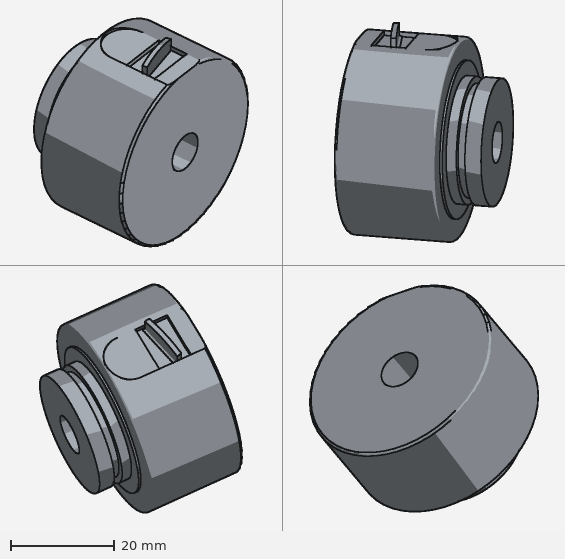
import cadquery as cq
import math

body_radius = 20.0
body_length = 20.0
edge_break = 0.5
collar_radius = 15.5
collar_length = 0.5
neck_radius = 12.5
neck_end = -7.5
groove_radius = 11.17
groove_start = -4.25
groove_end = -2.55
bore_radius = 4.0

flat_width = 10.0
flat_start = 0.55
flat_height = math.sqrt(body_radius**2 - (flat_width / 2) ** 2)
cut_clearance = 0.4
cut_top = body_radius + cut_clearance

pocket_start = 9.5
pocket_end = 16.45
pocket_floor = flat_height - 1.0

key_thickness = 1.1
key_length = flat_width
key_angle = 11.0
key_center_x = 12.97
key_top = 21.85
key_crown_radius = 17.58
key_root_fillet = 0.25
key_root_ledge = 0.3
key_root_ledge_height = 0.13


def cylinder(radius, start, end):
    return cq.Workplane("YZ", origin=(start, 0, 0)).circle(radius).extrude(end - start)


def box_between(start, end, width, bottom, top):
    center = ((start + end) / 2, 0, bottom)
    return cq.Workplane("XY", origin=center).rect(end - start, width).extrude(top - bottom)


def turned_body():
    body = cylinder(body_radius, 0, body_length)
    body = body.faces("<X or >X").edges().fillet(edge_break)
    collar = cylinder(collar_radius, -collar_length, 0)
    neck = cylinder(neck_radius, neck_end, 0)
    ring = cylinder(neck_radius, groove_start, groove_end)
    groove = ring.cut(cylinder(groove_radius, groove_start, groove_end))
    return body.union(collar).union(neck).cut(groove)


def flat_cutter():
    round_center = flat_start + flat_width / 2
    round_end = (
        cq.Workplane("XY", origin=(round_center, 0, flat_height))
        .circle(flat_width / 2)
        .extrude(cut_top - flat_height)
    )
    return round_end.union(box_between(round_center, body_length, flat_width, flat_height, cut_top))


def key():
    half_length = key_length / 2
    crown_drop = key_crown_radius - math.sqrt(key_crown_radius**2 - half_length**2)
    shoulder = key_top - crown_drop
    blade = (
        cq.Workplane("YZ", origin=(-key_thickness / 2, 0, 0))
        .moveTo(-half_length, pocket_floor)
        .lineTo(half_length, pocket_floor)
        .lineTo(half_length, shoulder)
        .threePointArc((0, key_top), (-half_length, shoulder))
        .close()
        .extrude(key_thickness)
    )
    face_x = -key_thickness / 2
    ledge_top = pocket_floor + key_root_ledge_height
    ledge_edge = face_x - key_root_ledge - key_root_fillet
    arc_offset = key_root_fillet * (1 - math.sqrt(0.5))
    root = (
        cq.Workplane("XZ", origin=(0, half_length, 0))
        .moveTo(face_x, pocket_floor)
        .lineTo(face_x, ledge_top + key_root_fillet)
        .threePointArc(
            (face_x - arc_offset, ledge_top + arc_offset),
            (face_x - key_root_fillet, ledge_top),
        )
        .lineTo(ledge_edge, ledge_top)
        .lineTo(ledge_edge, pocket_floor)
        .close()
        .extrude(key_length)
    )
    turned = blade.union(root).rotate((0, 0, 0), (0, 0, 1), key_angle)
    return turned.translate((key_center_x, 0, 0))


pocket = box_between(pocket_start, pocket_end, flat_width, pocket_floor, cut_top)
bore = cylinder(bore_radius, neck_end, body_length)

result = turned_body().cut(flat_cutter()).cut(pocket).union(key()).cut(bore)